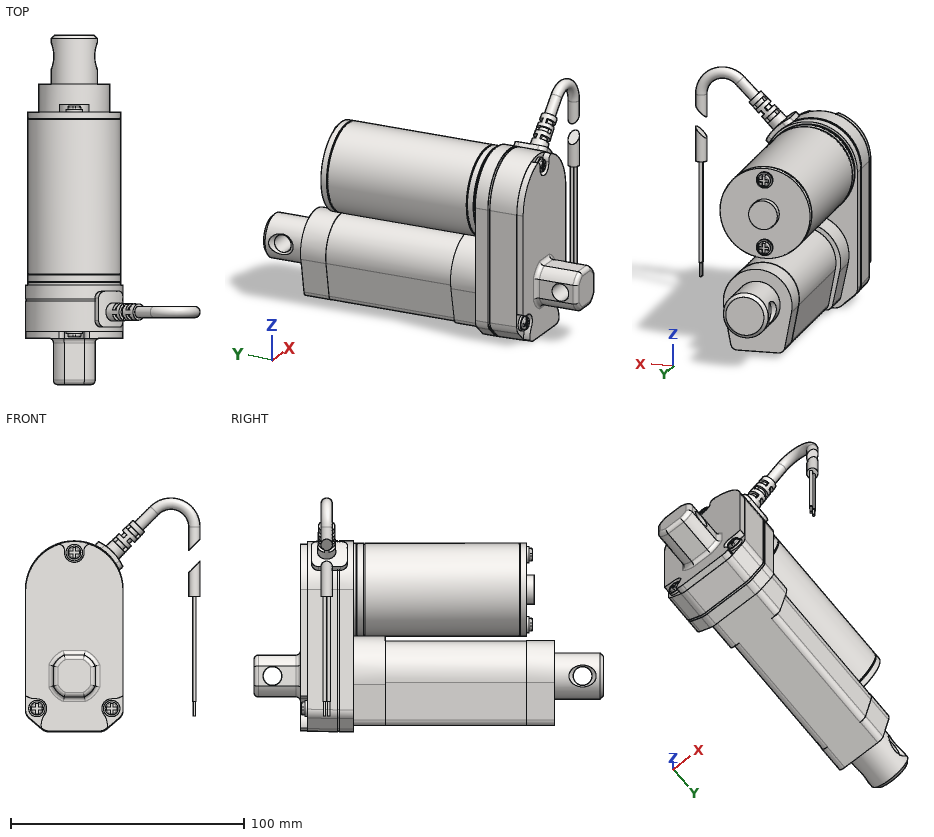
import cadquery as cq
import math


gearbox_half_width = 21
motor_axis_z = 37.0
gearbox_bottom_z = -24
gearbox_back_y = 22.8
corner_side_z = -16.8
corner_bottom_x = 12.6
corner_radius = 5.0
seam_front_y = 15.9
seam_back_y = 16.8
seam_depth = 0.3
front_shrink = 0.3
cover_thickness = 3
cover_inset = 0.2

pocket_depth = cover_thickness
pocket_radius = 4.2
top_flare_radius = 2.8
lower_flare_radius = 8.0
screw_flange_diameter = 7.0
screw_flange_height = 1.0
screw_head_diameter = 5.5
screw_head_height = 1.5
screw_head_fillet = 0.6
cross_length = 4.5
cross_width = 1.2
cross_depth = 0.9
pocket_reach = 12
top_pocket_half = 8.1
top_pocket_z = 56.4
lower_pocket_side_z = -8.4
lower_pocket_bottom_x = 14.0
lower_pocket_bottom_z = -23.1
top_screw_z = 53.0
lower_screw_x = 16.0
lower_screw_z = -14.0
motor_screw_offset = 15

shaft_diameter = 20.0
pin_hole_diameter = 8.0
clevis_length = 20.0
clevis_width = 18
clevis_fillet = 2.0
clevis_hole_y = -12
rod_end_y = 130.0
rod_hole_to_end = 9
rod_chamfer = 1.5
countersink_diameter = 11.7

motor_diameter = 40.0
motor_groove_diameter = 39
motor_groove_width = 0.5
motor_groove_starts = (23.8, 27.2, 93.9)
motor_end_y = 97.0
motor_boss_diameter = 12.8
motor_boss_height = 3.3

tube_bottom_z = -21.3
tube_side_lean = 10.7
tube_flange_lean = 12
tube_corner_radius = 3
tube_radius = 15.2
tube_cap_radius = 15.3
tube_flange_radius = 17.2
tube_flange_end_y = 36.5
tube_cap_start_y = motor_end_y
tube_end_y = 109.0

cable_diameter = 5.0
cable_y = 11.2
cable_drop_x = 51.52
bend_radius = 10.0
gland_angle = 45
gland_side_offset = 0.3
gland_plate_width = 15
gland_plate_length = 15.5
gland_plate_y = 12.5
gland_plate_radius = 23.1
gland_plate_corner = 3
relief_base_diameter = 8.0
relief_tip_diameter = 7.0
relief_start = 21.8
relief_end = 38.8
relief_slot_start = 26.7
relief_slot_width = 2.0
relief_slot_count = 3
relief_web = 2.0
upper_cut_z = 56.2
lower_cut_z = 46.8
sheath_bottom_z = 34.0
wire_diameter = 1.5
wire_spacing = 1.8
wire_bottom_z = -11.0
strand_diameter = 1.0
strand_bottom_z = -17.2


def section(y):
    """Sketch plane across Y, with local x along X, local y along Z and extrusion toward -Y."""
    return cq.Workplane("XZ", origin=(0, y, 0))


def cylinder_y(diameter, y_start, y_end, x=0, z=0):
    return section(y_end).center(x, z).circle(diameter / 2).extrude(y_end - y_start)


def gearbox_outline(y, shrink, side_inset=0):
    """Round-topped outline with two cut lower corners.

    shrink pulls in the top and the bottom, side_inset the two flat sides."""
    w = gearbox_half_width - side_inset
    return (
        section(y)
        .moveTo(-w, corner_side_z + shrink)
        .lineTo(-w, motor_axis_z)
        .threePointArc((0, motor_axis_z + gearbox_half_width - shrink), (w, motor_axis_z))
        .lineTo(w, corner_side_z + shrink)
        .lineTo(corner_bottom_x, gearbox_bottom_z + shrink)
        .lineTo(-corner_bottom_x, gearbox_bottom_z + shrink)
        .close()
    )


def round_lower_corners(shell):
    low = cq.selectors.BoxSelector((-30, -30, gearbox_bottom_z - 1.5), (30, 30, corner_side_z + 1.5))
    return shell.edges(low).edges("not(#Y)").fillet(corner_radius)


def gearbox_slice(y_start, y_end, shrink, side_inset):
    return round_lower_corners(gearbox_outline(y_end, shrink, side_inset).extrude(y_end - y_start))


def tapered_shell():
    back_wire = gearbox_outline(seam_front_y, 0).wires().val()
    front_wire = gearbox_outline(cover_thickness, front_shrink).wires().val()
    return round_lower_corners(cq.Workplane(cq.Solid.makeLoft([back_wire, front_wire], True)))


def make_gearbox():
    back = gearbox_slice(seam_back_y, gearbox_back_y, 0, 0)
    seam = gearbox_slice(seam_front_y, seam_back_y, seam_depth, seam_depth)
    cover = gearbox_slice(0, cover_thickness, front_shrink + cover_inset, cover_inset)
    return back.union(seam).union(tapered_shell()).union(cover)


def polar(center, radius, angle):
    return (center[0] + radius * math.cos(angle), center[1] + radius * math.sin(angle))


def bearing(start, end):
    return math.atan2(end[1] - start[1], end[0] - start[0])


def pocket_flare(center, edge_point, flare_radius, turn):
    """Arc from the pocket circle out to a point on the cover edge, tangent to the circle.

    Returns the point where it touches the circle and its middle point."""
    span = pocket_radius + flare_radius
    gap = math.dist(center, edge_point)
    cosine = (span**2 + gap**2 - flare_radius**2) / (2 * span * gap)
    direction = bearing(center, edge_point) + turn * math.acos(cosine)
    flare_center = polar(center, span, direction)
    touch = polar(center, pocket_radius, direction)
    chord_middle = ((touch[0] + edge_point[0]) / 2, (touch[1] + edge_point[1]) / 2)
    middle = polar(flare_center, flare_radius, bearing(flare_center, chord_middle))
    return touch, middle


def screw_pocket(center, edge_right, edge_left, flare_radius):
    """Pocket around a screw that opens outward between two points on the cover edge.

    Looking outward from the screw, edge_right is on the right and edge_left on the left."""
    edge_middle = ((edge_right[0] + edge_left[0]) / 2, (edge_right[1] + edge_left[1]) / 2)
    outward = bearing(center, edge_middle)
    touch_right, middle_right = pocket_flare(center, edge_right, flare_radius, -1)
    touch_left, middle_left = pocket_flare(center, edge_left, flare_radius, 1)
    return (
        section(pocket_depth)
        .moveTo(*edge_right)
        .threePointArc(middle_right, touch_right)
        .threePointArc(polar(center, -pocket_radius, outward), touch_left)
        .threePointArc(middle_left, edge_left)
        .lineTo(*polar(center, pocket_reach, outward))
        .close()
        .extrude(pocket_depth)
    )


def screw(x, z, seat_y, facing):
    """Flanged cross-head screw; facing is -1 for a head toward -Y and 1 for +Y."""
    height = screw_flange_height + screw_head_height
    body = cylinder_y(screw_head_diameter, -height, 0).faces("<Y").edges().fillet(screw_head_fillet)
    body = body.union(cylinder_y(screw_flange_diameter, -screw_flange_height, 0))
    cross = section(cross_depth - height).rect(cross_length, cross_width).extrude(cross_depth)
    body = body.cut(cross).cut(cross.rotate((0, 0, 0), (0, 1, 0), 90))
    if facing > 0:
        body = body.mirror("XZ")
    return body.translate((x, seat_y, z))


def add_cover_screws(gearbox):
    top = (0, top_screw_z)
    top_pocket = screw_pocket(
        top,
        (top_pocket_half, top_pocket_z),
        (-top_pocket_half, top_pocket_z),
        top_flare_radius,
    )
    left_pocket = screw_pocket(
        (-lower_screw_x, lower_screw_z),
        (-gearbox_half_width, lower_pocket_side_z),
        (-lower_pocket_bottom_x, lower_pocket_bottom_z),
        lower_flare_radius,
    )
    gearbox = gearbox.cut(top_pocket).cut(left_pocket).cut(left_pocket.mirror("YZ"))
    lower_left = (-lower_screw_x, lower_screw_z)
    lower_right = (lower_screw_x, lower_screw_z)
    for x, z in (top, lower_left, lower_right):
        gearbox = gearbox.union(screw(x, z, pocket_depth, -1))
    return gearbox


def add_clevis(gearbox):
    block = section(0).rect(clevis_width, clevis_width).extrude(clevis_length)
    block = block.intersect(cylinder_y(shaft_diameter, -clevis_length, 0))
    block = block.faces("<Y").edges().fillet(clevis_fillet)
    gearbox = gearbox.union(block)
    reach = shaft_diameter / 2
    foot = cq.selectors.BoxSelector((-reach, -0.2, -reach), (reach, 0.2, reach))
    gearbox = gearbox.edges(foot).fillet(clevis_fillet)
    hole = (
        cq.Workplane("YZ", origin=(-clevis_width, clevis_hole_y, 0))
        .circle(pin_hole_diameter / 2)
        .extrude(2 * clevis_width)
    )
    return gearbox.cut(hole)


def make_motor():
    motor = cylinder_y(motor_diameter, gearbox_back_y, motor_end_y)
    for start in motor_groove_starts:
        end = start + motor_groove_width
        ring = cylinder_y(motor_diameter, start, end).cut(cylinder_y(motor_groove_diameter, start, end))
        motor = motor.cut(ring)
    boss = cylinder_y(motor_boss_diameter, motor_end_y, motor_end_y + motor_boss_height)
    motor = motor.union(boss)
    for z in (-motor_screw_offset, motor_screw_offset):
        motor = motor.union(screw(0, z, motor_end_y, 1))
    return motor.translate((0, 0, motor_axis_z))


def tube_part(radius, lean_angle, y_start, y_end):
    """Round-topped block whose flat sides leave the round tangentially and lean inward."""
    lean = math.radians(lean_angle)
    side_x = radius * math.cos(lean)
    side_z = -radius * math.sin(lean)
    bottom_x = side_x - (side_z - tube_bottom_z) * math.tan(lean)
    block = (
        section(y_end)
        .moveTo(-bottom_x, tube_bottom_z)
        .lineTo(-side_x, side_z)
        .threePointArc((0, radius), (side_x, side_z))
        .lineTo(bottom_x, tube_bottom_z)
        .close()
        .extrude(y_end - y_start)
    )
    return block.faces("<Z").edges("|Y").fillet(tube_corner_radius)


def make_tube():
    flange = tube_part(tube_flange_radius, tube_flange_lean, gearbox_back_y, tube_flange_end_y)
    middle = tube_part(tube_radius, tube_side_lean, tube_flange_end_y, tube_cap_start_y)
    cap = tube_part(tube_cap_radius, tube_side_lean, tube_cap_start_y, tube_end_y)
    bore = cylinder_y(shaft_diameter, tube_cap_start_y, tube_end_y)
    return flange.union(middle).union(cap).cut(bore)


def make_rod():
    rod = cylinder_y(shaft_diameter, tube_cap_start_y, rod_end_y).faces(">Y").chamfer(rod_chamfer)
    hole_y = rod_end_y - rod_hole_to_end
    radius = shaft_diameter / 2
    hole_radius = pin_hole_diameter / 2
    cone_depth = countersink_diameter / 2 - hole_radius
    cutter = (
        cq.Workplane("XY")
        .polyline(
            [
                (-radius, 0),
                (-radius, countersink_diameter / 2),
                (cone_depth - radius, hole_radius),
                (radius - cone_depth, hole_radius),
                (radius, countersink_diameter / 2),
                (radius, 0),
            ]
        )
        .close()
        .revolve(360, (0, 0, 0), (1, 0, 0))
    )
    return rod.cut(cutter.translate((0, hole_y, 0)))


angle = math.radians(gland_angle)
out_x = math.cos(angle)
out_z = math.sin(angle)
bend_start = (cable_drop_x - bend_radius - (bend_radius + gland_side_offset) * out_z) / out_x


def gland_point(distance, sideways):
    """X and Z of a point along the gland axis, and sideways of it toward +X and -Z."""
    x = distance * out_x + (gland_side_offset + sideways) * out_z
    z = motor_axis_z + distance * out_z - (gland_side_offset + sideways) * out_x
    return x, z


def gland_plane(distance, y):
    x, z = gland_point(distance, 0)
    return cq.Workplane(cq.Plane((x, y, z), (out_z, 0, -out_x), (out_x, 0, out_z)))


def make_gland_plate():
    """Curved plate that hugs the round top of the gearbox."""
    plate = (
        gland_plane(0, gland_plate_y)
        .rect(gland_plate_width, gland_plate_length)
        .extrude(gland_plate_radius + 1.5)
    )
    along_gland = cq.selectors.ParallelDirSelector(cq.Vector(out_x, 0, out_z))
    plate = plate.edges(along_gland).fillet(gland_plate_corner)
    outside = cylinder_y(2 * gland_plate_radius, 0, gearbox_back_y, z=motor_axis_z)
    inside = cylinder_y(2 * gearbox_half_width, 0, gearbox_back_y, z=motor_axis_z)
    return plate.intersect(outside).cut(inside)


def make_strain_relief():
    relief = (
        gland_plane(relief_start, cable_y)
        .circle(relief_base_diameter / 2)
        .workplane(offset=relief_end - relief_start)
        .circle(relief_tip_diameter / 2)
        .loft()
    )
    slot_depth = relief_base_diameter
    slot_middle = (relief_web + slot_depth) / 2
    for index in range(relief_slot_count):
        start = relief_slot_start + 2 * index * relief_slot_width
        plane = gland_plane(start, cable_y)
        if index % 2 == 0:
            slots = plane.pushPoints([(0, -slot_middle), (0, slot_middle)]).rect(2 * slot_depth, slot_depth)
        else:
            slots = plane.pushPoints([(-slot_middle, 0), (slot_middle, 0)]).rect(slot_depth, 2 * slot_depth)
        relief = relief.cut(slots.extrude(relief_slot_width))
    return relief


def slanted_cut(z, corner_side):
    """Wedge on one side of a 45 degree plane across the hanging cable at height z.

    corner_side is 1 for the wedge below the plane and -1 for the wedge above it."""
    reach = 2 * cable_diameter
    return (
        section(cable_y + reach)
        .center(cable_drop_x, z)
        .polyline([(-reach, -reach), (reach, reach), (corner_side * reach, -corner_side * reach)])
        .close()
        .extrude(2 * reach)
    )


def make_cable():
    bend_x, bend_z = gland_point(bend_start, bend_radius)
    path = (
        section(cable_y)
        .moveTo(*gland_point(relief_start, 0))
        .lineTo(*gland_point(bend_start, 0))
        .threePointArc(
            polar((bend_x, bend_z), bend_radius, (math.pi / 2 + angle) / 2), (cable_drop_x, bend_z)
        )
        .lineTo(cable_drop_x, upper_cut_z - cable_diameter)
    )
    cord = gland_plane(relief_start, cable_y).circle(cable_diameter / 2).sweep(path)
    cord = cord.cut(slanted_cut(upper_cut_z, 1))
    return make_gland_plate().union(make_strain_relief()).union(cord)


def hanging_cylinder(diameter, y, bottom_z, top_z):
    return (
        cq.Workplane("XY", origin=(cable_drop_x, y, bottom_z))
        .circle(diameter / 2)
        .extrude(top_z - bottom_z)
    )


def make_cable_end():
    sheath = hanging_cylinder(cable_diameter, cable_y, sheath_bottom_z, lower_cut_z + cable_diameter)
    cable_end = sheath.cut(slanted_cut(lower_cut_z, -1))
    for side in (-1, 1):
        y = cable_y + side * wire_spacing / 2
        cable_end = cable_end.union(hanging_cylinder(wire_diameter, y, wire_bottom_z, sheath_bottom_z))
        cable_end = cable_end.union(hanging_cylinder(strand_diameter, y, strand_bottom_z, wire_bottom_z))
    return cable_end


actuator = add_clevis(add_cover_screws(make_gearbox())).union(make_motor()).union(make_tube())
rod = make_rod()
cable = make_cable()
cable_end = make_cable_end()

result = cq.Compound.makeCompound([actuator.val(), rod.val(), cable.val(), cable_end.val()])